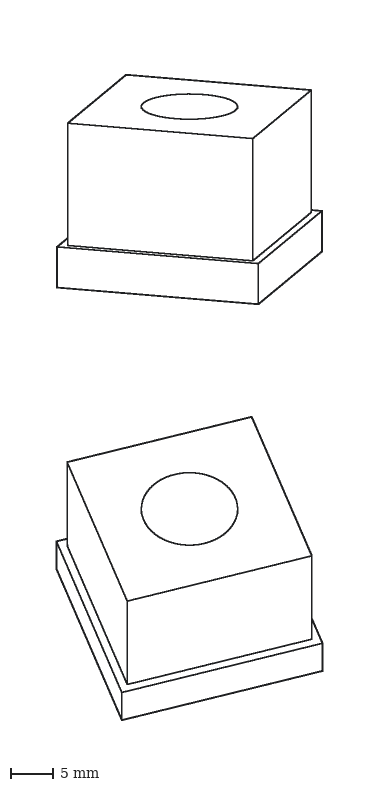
import cadquery as cq

flange_side = 25.0
flange_height = 5.0
shoulder_width = 1.0
body_side = flange_side - 2 * shoulder_width
total_height = 20.0
body_height = total_height - flange_height
bore_diameter = 11.4


def make_flange():
    """Square flange resting on the XY plane."""
    return cq.Workplane("XY").rect(flange_side, flange_side).extrude(flange_height)


def add_body(plug):
    """Square body centred on top of the flange."""
    return plug.faces(">Z").workplane().rect(body_side, body_side).extrude(body_height)


def cut_bore(plug):
    """Round bore on the vertical axis, through the body and the flange."""
    return plug.faces(">Z").workplane().hole(bore_diameter)


result = cut_bore(add_body(make_flange()))